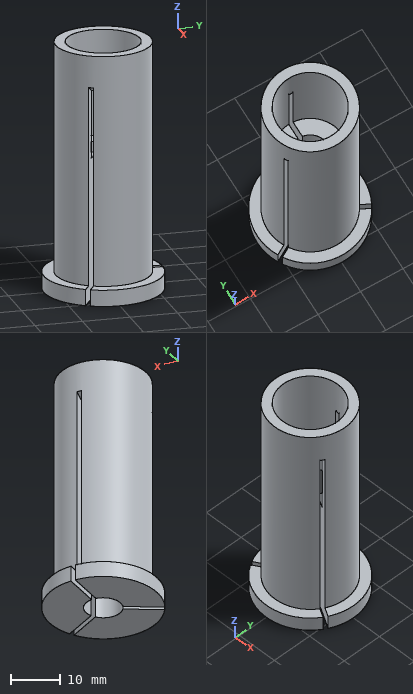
import math

import cadquery as cq

total_height = 52.5
sleeve_diameter = 20.0

flange_diameter = 25.0
flange_height = 3.5

bore_diameter = 15.4
narrow_bore_diameter = 8.0
narrow_bore_length = 30.0

slit_count = 3
slit_width = 1.0
slit_height_at_axis = 40.0
slit_end_slope = 30.0
first_slit_angle = 90.0


def make_body():
    flange = cq.Workplane("XY").circle(flange_diameter / 2).extrude(flange_height)
    sleeve = cq.Workplane("XY").circle(sleeve_diameter / 2).extrude(total_height)
    return flange.union(sleeve)


def make_bore():
    narrow_bore = cq.Workplane("XY").circle(narrow_bore_diameter / 2).extrude(total_height)
    wide_bore = (
        cq.Workplane("XY")
        .workplane(offset=narrow_bore_length)
        .circle(bore_diameter / 2)
        .extrude(total_height - narrow_bore_length)
    )
    return narrow_bore.union(wide_bore)


def make_slit(angle):
    """Radial slit from the axis outward past the flange, open at the bottom."""
    reach = flange_diameter
    rise_per_length = math.tan(math.radians(slit_end_slope))
    height_at_reach = slit_height_at_axis + reach * rise_per_length
    slit = (
        cq.Workplane("XZ")
        .moveTo(0, 0)
        .lineTo(reach, 0)
        .lineTo(reach, height_at_reach)
        .lineTo(0, slit_height_at_axis)
        .close()
        .extrude(slit_width / 2, both=True)
    )
    return slit.rotate((0, 0, 0), (0, 0, 1), angle)


result = make_body().cut(make_bore())
for index in range(slit_count):
    result = result.cut(make_slit(first_slit_angle + index * 360.0 / slit_count))